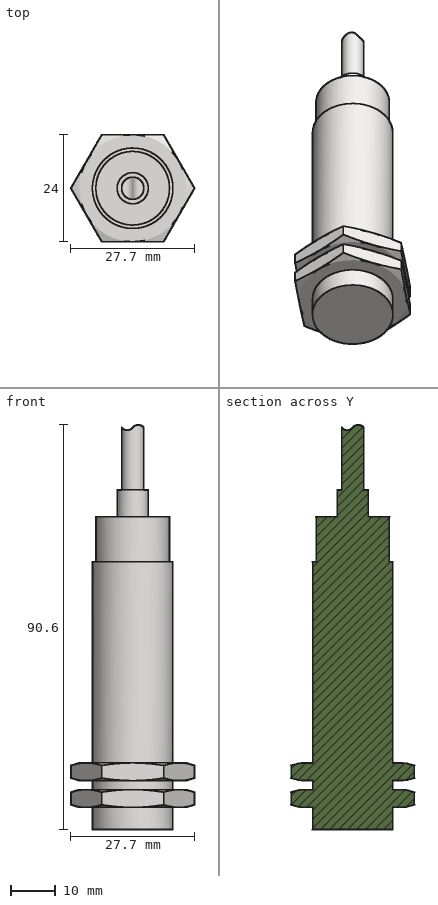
import cadquery as cq
import math

total_height = 90.6
body_diameter = 18.0
body_top = 60.0
cap_diameter = 16.5
cap_top = 70.0
sleeve_diameter = 7.0
sleeve_top = 76.0
cable_diameter = 5.0
wave_height = 0.59

nut_across_flats = 24.0
nut_across_corners = nut_across_flats / math.cos(math.pi / 6)
nut_thickness = 4.0
nut_bottoms = (5.0, 11.0)
nut_face_diameter = 23.9
nut_corner_drop = 0.59


def cylinder(diameter, bottom, top):
    return cq.Workplane("XY").workplane(offset=bottom).circle(diameter / 2).extrude(top - bottom)


def make_cable():
    """Cable stub whose end follows an S-shaped break line running across X."""
    radius = cable_diameter / 2
    break_level = total_height - wave_height
    break_profile = (
        cq.Workplane("XZ")
        .moveTo(-radius, sleeve_top)
        .lineTo(-radius, break_level)
        .threePointArc((-radius / 2, break_level - wave_height), (0, break_level))
        .threePointArc((radius / 2, total_height), (radius, break_level))
        .lineTo(radius, sleeve_top)
        .close()
        .extrude(radius, both=True)
    )
    return cylinder(cable_diameter, sleeve_top, total_height).intersect(break_profile)


def make_nut(bottom):
    """Hexagonal nut with its corners turned down by shallow cones on both faces."""
    hexagon = cq.Workplane("XY").polygon(6, nut_across_corners).extrude(nut_thickness)
    face_radius = nut_face_diameter / 2
    corner_radius = nut_across_corners / 2
    turned_envelope = (
        cq.Workplane("XZ")
        .polyline([
            (0, 0),
            (face_radius, 0),
            (corner_radius, nut_corner_drop),
            (corner_radius, nut_thickness - nut_corner_drop),
            (face_radius, nut_thickness),
            (0, nut_thickness),
        ])
        .close()
        .revolve(360, (0, 0, 0), (0, 1, 0))
    )
    return hexagon.intersect(turned_envelope).translate((0, 0, bottom))


result = (
    cylinder(body_diameter, 0, body_top)
    .union(cylinder(cap_diameter, body_top, cap_top))
    .union(cylinder(sleeve_diameter, cap_top, sleeve_top))
    .union(make_cable())
)
for nut_bottom in nut_bottoms:
    result = result.union(make_nut(nut_bottom))